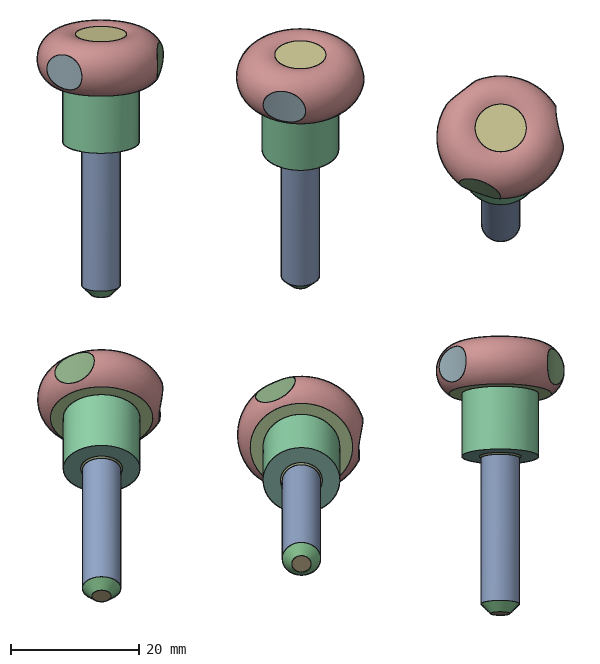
import cadquery as cq
import math

total_height = 43.0
head_height = 8.0
collar_height = 9.98
tip_height = 1.5
flare_height = 0.25
head_bottom = total_height - head_height
collar_bottom = head_bottom - collar_height

head_radius = 20.0 / 2
collar_radius = 12.0 / 2
pin_radius = 6.0 / 2
tip_radius = pin_radius - tip_height
flare_radius = pin_radius + flare_height
top_disc_radius = 4.0

roll_radius = 4.35
roll_center_radius = head_radius - roll_radius
roll_center_z = total_height - roll_radius

grip_count = 3
grip_radius = 15.0
grip_floor_radius = 9.0
first_grip_angle = -90


def roll_offset(leg):
    """Other leg of the right triangle whose hypotenuse is the roll radius."""
    return math.sqrt(roll_radius**2 - leg**2)


def make_head():
    bottom_edge_radius = roll_center_radius + roll_offset(roll_center_z - head_bottom)
    disc_z = roll_center_z + roll_offset(roll_center_radius - top_disc_radius)
    return (
        cq.Workplane("XZ")
        .moveTo(0, head_bottom)
        .lineTo(bottom_edge_radius, head_bottom)
        .threePointArc((head_radius, roll_center_z), (top_disc_radius, disc_z))
        .lineTo(0, disc_z)
        .close()
        .revolve(360, (0, 0, 0), (0, 1, 0))
    )


def make_collar_and_pin():
    profile = [
        (0, 0),
        (tip_radius, 0),
        (pin_radius, tip_height),
        (pin_radius, collar_bottom - flare_height),
        (flare_radius, collar_bottom),
        (collar_radius, collar_bottom),
        (collar_radius, head_bottom),
        (0, head_bottom),
    ]
    return cq.Workplane("XZ").polyline(profile).close().revolve(360, (0, 0, 0), (0, 1, 0))


def make_grip_cutters():
    return (
        cq.Workplane("XY", origin=(0, 0, head_bottom))
        .polarArray(grip_floor_radius + grip_radius, first_grip_angle, 360, grip_count)
        .circle(grip_radius)
        .extrude(head_height, combine=False)
    )


head = make_head()
for cutter in make_grip_cutters().vals():
    head = head.cut(cq.Workplane(cutter))

result = head.union(make_collar_and_pin())